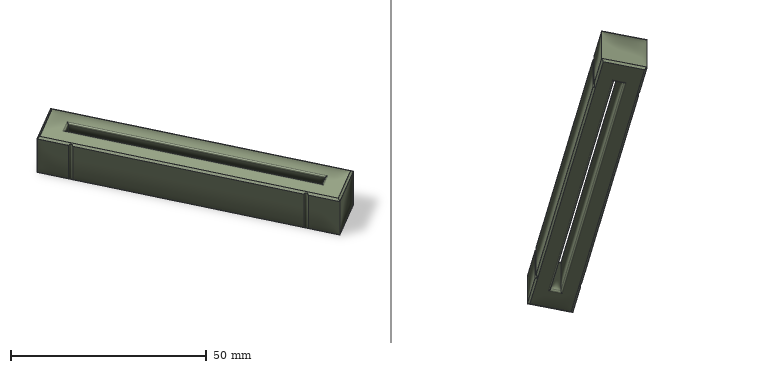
import cadquery as cq

LENGTH = 81.0
WIDTH = 12.0
HEIGHT = 12.7
CHAMFER = 0.6

SLOT_LENGTH = 68.7
SLOT_WIDTH = 2.7
SLOT_RIM_RADIUS = 0.5

GROOVE_RADIUS = 0.65
GROOVE_DEPTH = 0.3
GROOVE_FROM_END = 9.0


def make_slotted_block():
    """Block with chamfered outer rims and a through slot with rounded rims."""
    block = cq.Workplane("XY").box(LENGTH, WIDTH, HEIGHT).faces("|Z").edges().chamfer(CHAMFER)
    slot = cq.Workplane("XY").box(SLOT_LENGTH, SLOT_WIDTH, HEIGHT)
    slot_region = cq.selectors.BoxSelector(
        (-SLOT_LENGTH / 2 - SLOT_RIM_RADIUS, -SLOT_WIDTH / 2 - SLOT_RIM_RADIUS, -HEIGHT),
        (SLOT_LENGTH / 2 + SLOT_RIM_RADIUS, SLOT_WIDTH / 2 + SLOT_RIM_RADIUS, HEIGHT),
    )
    return block.cut(slot).faces("|Z").edges(slot_region).fillet(SLOT_RIM_RADIUS)


def make_groove_cutters():
    """Upright cylinders biting into the long side faces, near both ends."""
    groove_x = LENGTH / 2 - GROOVE_FROM_END
    axis_y = WIDTH / 2 - GROOVE_DEPTH + GROOVE_RADIUS
    centres = [(x, y) for x in (-groove_x, groove_x) for y in (-axis_y, axis_y)]
    return (
        cq.Workplane("XY", origin=(0, 0, -HEIGHT / 2))
        .pushPoints(centres)
        .circle(GROOVE_RADIUS)
        .extrude(HEIGHT)
    )


housing = make_slotted_block().cut(make_groove_cutters())

result = cq.Compound.makeCompound([housing.val()])